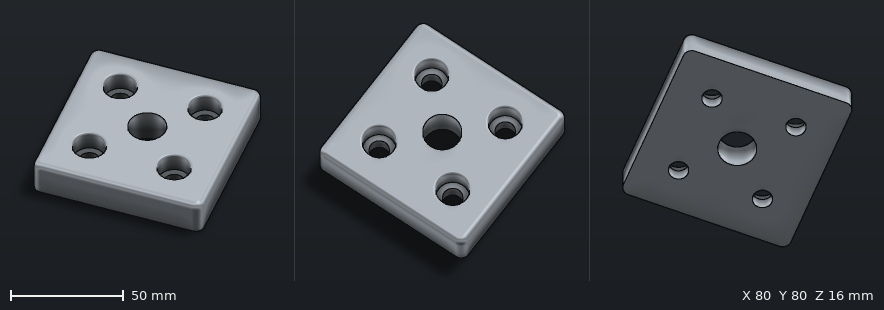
import cadquery as cq

side = 80.0
thickness = 16.0
corner_radius = 4.0
top_flat_side = 74.0
top_edge_radius = (side - top_flat_side) / 2

center_hole_diameter = 17.3
bolt_spacing = side / 2
bolt_hole_diameter = 9.0
counterbore_diameter = 15.0
counterbore_depth = 9.0
rim_diameter = 17.0
rim_radius = (rim_diameter - counterbore_diameter) / 2


def rounded_plate():
    """Square plate resting on Z = 0, with rounded corners and a rounded top edge."""
    plate = cq.Workplane("XY").box(side, side, thickness, centered=(True, True, False))
    plate = plate.edges("|Z").fillet(corner_radius)
    return plate.faces(">Z").edges().fillet(top_edge_radius)


def bolt_hole_cutter():
    """Revolved profile of one through hole with a counterbore and a rounded rim."""
    hole_radius = bolt_hole_diameter / 2
    bore_radius = counterbore_diameter / 2
    bore_floor = thickness - counterbore_depth
    profile = (
        cq.Workplane("XZ")
        .moveTo(0, 0)
        .lineTo(hole_radius, 0)
        .lineTo(hole_radius, bore_floor)
        .lineTo(bore_radius, bore_floor)
        .lineTo(bore_radius, thickness - rim_radius)
        .radiusArc((rim_diameter / 2, thickness), rim_radius)
        .lineTo(0, thickness)
        .close()
    )
    return profile.revolve(360, (0, 0, 0), (0, 1, 0))


center_hole = cq.Workplane("XY").circle(center_hole_diameter / 2).extrude(thickness)
result = rounded_plate().cut(center_hole)

for x_sign in (-1, 1):
    for y_sign in (-1, 1):
        hole_position = (x_sign * bolt_spacing / 2, y_sign * bolt_spacing / 2, 0)
        result = result.cut(bolt_hole_cutter().translate(hole_position))